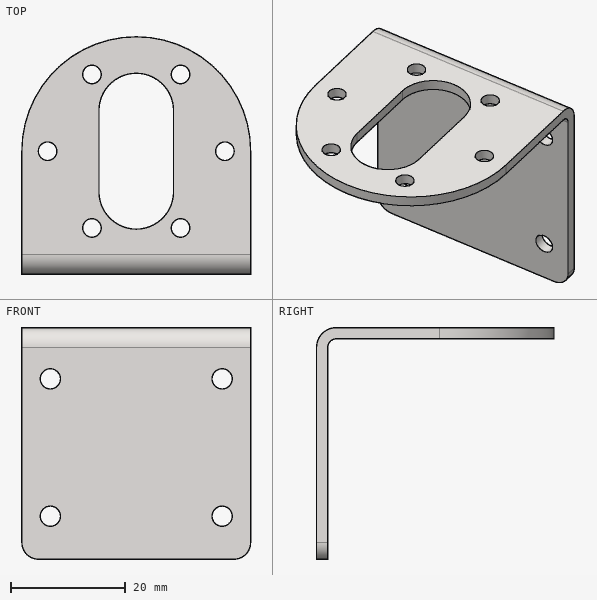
import cadquery as cq

width = 40.0
depth = 41.5
height = 40.5
thickness = 2.0

bend_outer_radius = 3.5
bend_inner_radius = bend_outer_radius - thickness
corner_radius = 3.0

end_radius = width / 2
ring_center_y = depth - end_radius
ring_radius = 15.5
ring_hole_count = 6
ring_hole_diameter = 3.2
slot_length = 27.2
slot_width = 13.0

mount_hole_diameter = 3.5
mount_spacing_x = 30.0
mount_spacing_z = 24.0
mount_top_offset = 8.95
mount_center_z = -mount_top_offset - mount_spacing_z / 2


def bent_sheet():
    """L-shaped sheet; the outer bend corner lies on the X axis, centred in X."""
    flange = (
        cq.Workplane("YZ")
        .rect(depth, thickness, centered=False)
        .extrude(width / 2, both=True)
        .translate((0, 0, -thickness))
    )
    wall = cq.Workplane("XY").box(width, thickness, height, centered=(True, False, False))
    sheet = flange.union(wall.translate((0, 0, -height)))
    inner_corner = cq.selectors.NearestToPointSelector((0, thickness, -thickness))
    outer_corner = cq.selectors.NearestToPointSelector((0, 0, 0))
    sheet = sheet.edges(inner_corner).fillet(bend_inner_radius)
    return sheet.edges(outer_corner).fillet(bend_outer_radius)


def plan_outline():
    """Tall solid with the rounded-end plan shape, used to trim the sheet."""
    return (
        cq.Workplane("XY")
        .moveTo(-end_radius, 0)
        .lineTo(end_radius, 0)
        .lineTo(end_radius, ring_center_y)
        .threePointArc((0, depth), (-end_radius, ring_center_y))
        .close()
        .extrude(-height)
    )


def top_openings():
    """Slot and ring of holes through the horizontal flange."""
    center = cq.Workplane("XY").center(0, ring_center_y)
    slot = center.slot2D(slot_length, slot_width, 90).extrude(-thickness)
    holes = (
        center.polarArray(ring_radius, 0, 360, ring_hole_count)
        .circle(ring_hole_diameter / 2)
        .extrude(-thickness)
    )
    return slot.union(holes)


def mount_holes():
    """Four holes through the vertical flange."""
    return (
        cq.Workplane("XZ")
        .center(0, mount_center_z)
        .rarray(mount_spacing_x, mount_spacing_z, 2, 2)
        .circle(mount_hole_diameter / 2)
        .extrude(-thickness)
    )


bracket = bent_sheet().intersect(plan_outline())
bracket = bracket.faces("<Z").edges("|Y").fillet(corner_radius)
result = bracket.cut(top_openings()).cut(mount_holes())